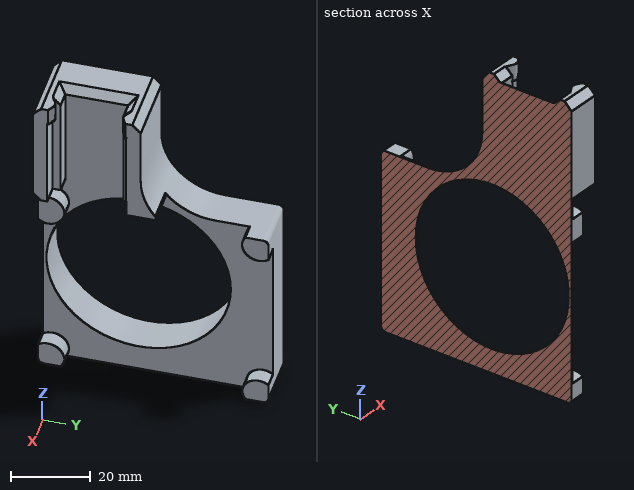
import cadquery as cq
import math

PLATE_THICKNESS = 10.3
PLATE_WIDTH = 60.0
PLATE_HEIGHT = 53.15
TOTAL_HEIGHT = 88.0
NECK_WIDTH = 28.2
INNER_CORNER_RADIUS = 16.7
PLATE_CORNER_RADIUS = 1.4
NECK_CHAMFER = 2.2

OPENING_DIAMETER = 48.0
OPENING_Y = 25.0
OPENING_Z = 31.3

POST_TOP_X = 14.7
POST_RADIUS = 4.3
POST_INSET = 2.55

CLIP_DEPTH = 19.8
CLIP_BOTTOM_Z = 58.0
CLIP_BOTTOM_CHAMFER = 1.9
CLIP_BASE_WIDTH = 31.9

ARM_THICKNESS = 3.8
RAIL_WIDTH = 2.1
SLOT_CENTER_Y = NECK_WIDTH / 2
WIDE_SLOT = NECK_WIDTH - 2 * ARM_THICKNESS
NARROW_SLOT = WIDE_SLOT - 2 * RAIL_WIDTH

BUMP_X = 17.25
BUMP_HEIGHT = 1.4
BUMP_LENGTH = 4.75
BUMP_CREST_RADIUS = 1.85
BUMP_FLANK_ANGLE = math.radians(30)


def box_between(x0, x1, y0, y1, z0, z1):
    return cq.Workplane("XY").box(x1 - x0, y1 - y0, z1 - z0, centered=False).translate((x0, y0, z0))


def outline_prism(depth):
    """L-shaped outline with its rounded and chamfered corners, extruded along +X."""
    diagonal = INNER_CORNER_RADIUS * (1 - math.sqrt(0.5))
    prism = (
        cq.Workplane("YZ")
        .moveTo(0, 0)
        .lineTo(PLATE_WIDTH, 0)
        .lineTo(PLATE_WIDTH, PLATE_HEIGHT)
        .lineTo(NECK_WIDTH + INNER_CORNER_RADIUS, PLATE_HEIGHT)
        .threePointArc(
            (NECK_WIDTH + diagonal, PLATE_HEIGHT + diagonal),
            (NECK_WIDTH, PLATE_HEIGHT + INNER_CORNER_RADIUS),
        )
        .lineTo(NECK_WIDTH, TOTAL_HEIGHT - NECK_CHAMFER)
        .lineTo(NECK_WIDTH - NECK_CHAMFER, TOTAL_HEIGHT)
        .lineTo(NECK_CHAMFER, TOTAL_HEIGHT)
        .lineTo(0, TOTAL_HEIGHT - NECK_CHAMFER)
        .close()
        .extrude(depth)
    )
    along_x = prism.edges("|X")
    plate_corners = along_x.edges("<Z").add(along_x.edges(">Y"))
    return plate_corners.fillet(PLATE_CORNER_RADIUS)


def make_posts():
    near, far = POST_INSET, PLATE_WIDTH - POST_INSET
    low, high = POST_INSET, PLATE_HEIGHT - POST_INSET
    posts = (
        cq.Workplane("YZ")
        .pushPoints([(near, low), (near, high), (far, low), (far, high)])
        .circle(POST_RADIUS)
        .extrude(POST_TOP_X)
    )
    return posts.intersect(outline_prism(POST_TOP_X))


def make_clip_block():
    envelope = (
        cq.Workplane("YZ")
        .moveTo(CLIP_BOTTOM_CHAMFER, CLIP_BOTTOM_Z)
        .lineTo(CLIP_BASE_WIDTH, CLIP_BOTTOM_Z)
        .lineTo(CLIP_BASE_WIDTH, TOTAL_HEIGHT)
        .lineTo(0, TOTAL_HEIGHT)
        .lineTo(0, CLIP_BOTTOM_Z + CLIP_BOTTOM_CHAMFER)
        .close()
        .extrude(CLIP_DEPTH)
    )
    return envelope.intersect(outline_prism(CLIP_DEPTH))


def slot_box(x0, width):
    y0 = SLOT_CENTER_Y - width / 2
    return box_between(x0, CLIP_DEPTH, y0, y0 + width, CLIP_BOTTOM_Z, TOTAL_HEIGHT)


def make_lead_in():
    """Tapered mouth that widens the narrow slot towards the top on three sides."""

    def section(z, growth):
        width = NARROW_SLOT + 2 * growth
        floor_x = PLATE_THICKNESS - growth
        return cq.Wire.makePolygon(
            [
                cq.Vector(floor_x, SLOT_CENTER_Y - width / 2, z),
                cq.Vector(CLIP_DEPTH, SLOT_CENTER_Y - width / 2, z),
                cq.Vector(CLIP_DEPTH, SLOT_CENTER_Y + width / 2, z),
                cq.Vector(floor_x, SLOT_CENTER_Y + width / 2, z),
            ],
            close=True,
        )

    lower = section(TOTAL_HEIGHT - RAIL_WIDTH, 0)
    upper = section(TOTAL_HEIGHT, RAIL_WIDTH)
    return cq.Workplane(cq.Solid.makeLoft([lower, upper], True))


def make_bumps():
    """Snap bumps on the inner faces of both arms, trimmed at the arm tips."""
    wall_y = ARM_THICKNESS
    root_y = wall_y / 2
    crest_y = wall_y + BUMP_HEIGHT
    tangent_dx = BUMP_CREST_RADIUS * math.sin(BUMP_FLANK_ANGLE)
    tangent_y = crest_y - BUMP_CREST_RADIUS * (1 - math.cos(BUMP_FLANK_ANGLE))
    foot_dx = tangent_dx + (tangent_y - wall_y) / math.tan(BUMP_FLANK_ANGLE)
    bump = (
        cq.Workplane("XY", origin=(0, 0, TOTAL_HEIGHT - BUMP_LENGTH))
        .moveTo(BUMP_X - foot_dx, root_y)
        .lineTo(BUMP_X - foot_dx, wall_y)
        .lineTo(BUMP_X - tangent_dx, tangent_y)
        .threePointArc((BUMP_X, crest_y), (BUMP_X + tangent_dx, tangent_y))
        .lineTo(BUMP_X + foot_dx, wall_y)
        .lineTo(BUMP_X + foot_dx, root_y)
        .close()
        .extrude(BUMP_LENGTH)
    )
    pair = bump.union(bump.mirror("XZ", (0, SLOT_CENTER_Y, 0)))
    return pair.intersect(outline_prism(CLIP_DEPTH))


opening = (
    cq.Workplane("YZ")
    .center(OPENING_Y, OPENING_Z)
    .circle(OPENING_DIAMETER / 2)
    .extrude(CLIP_DEPTH)
)

result = (
    outline_prism(PLATE_THICKNESS)
    .union(make_clip_block())
    .cut(slot_box(PLATE_THICKNESS, NARROW_SLOT))
    .cut(slot_box(POST_TOP_X, WIDE_SLOT))
    .cut(make_lead_in())
    .union(make_bumps())
    .union(make_posts())
    .cut(opening)
)